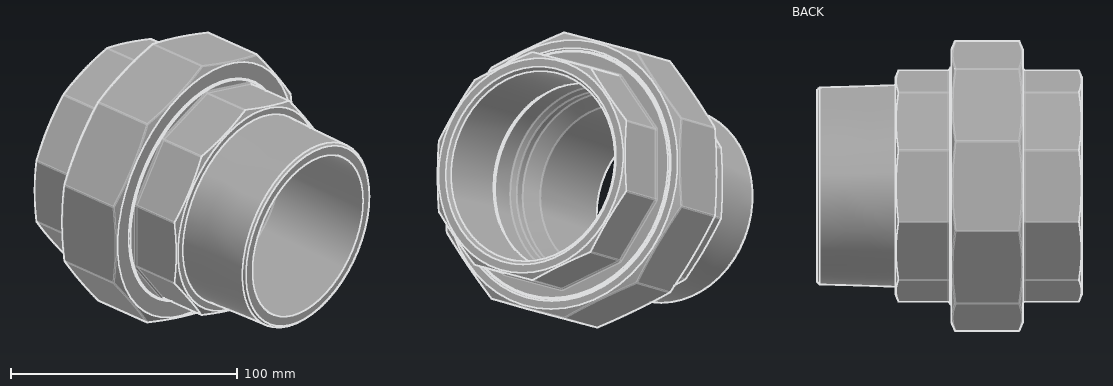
import math

import cadquery as cq


SIDES = 10
FLAT_RATIO = math.cos(math.pi / SIDES)
CORNER_RADIUS = 1.0
CHAMFER_ANGLE = math.radians(23)
CUTTER_MARGIN = 1.3
PLANE_TOLERANCE = 0.01

chamfer_edge_radius = 0.5
nut_corner_diameter = 128.2
nut_flats = nut_corner_diameter * FLAT_RATIO + 2 * CORNER_RADIUS * (1 - FLAT_RATIO)
nut_start = 26.0
nut_end = 57.8
nut_face_diameter = 120.2
nut_mouth_diameter = 113.0
thread_diameter = 111.3
nut_mouth_chamfer = (nut_mouth_diameter - thread_diameter) / 2
neck_diameter = 105.0
lip_start = 51.3

end_flats = 97.4
end_face_diameter = 95.9
foot_fillet = 0.8

thread_face_diameter = 110.1
thread_chamfer = (thread_diameter - thread_face_diameter) / 2
bore_diameter = 85.0
socket_mouth_diameter = 88.5
socket_mouth_chamfer = (socket_mouth_diameter - bore_diameter) / 2
socket_end = 37.2

seal_gap = 3.8
spigot_start = socket_end + seal_gap
neck_end = 58.5
neck_face_diameter = 104.0
neck_chamfer = (neck_diameter - neck_face_diameter) / 2
decagon_end = 82.4
total_length = 117.0
throat_diameter = 76.0
seat_chamfer = 0.5
cone_angle = math.radians(30)
seat_diameter = 88.5
cone_fillet = 1.0
seat_cone_start = 53.8
seat_cone_end = seat_cone_start + (seat_diameter - bore_diameter) / 2 / math.tan(cone_angle)
throat_cone_start = 61.5
throat_cone_end = throat_cone_start + (bore_diameter - throat_diameter) / 2 / math.tan(cone_angle)
pipe_root_diameter = 89.2
pipe_tip_diameter = 87.2
pipe_tip_chamfer = 1.2


def revolved(profile):
    """Solid of revolution about X from (x, radius) points."""
    return cq.Workplane("XY").polyline(profile).close().revolve(360, (0, 0, 0), (1, 0, 0))


def decagon(start, end, flats):
    """Decagonal prism along X with rounded corners."""
    prism = (
        cq.Workplane("YZ", origin=(start, 0, 0))
        .transformed(rotate=(0, 0, 90))
        .polygon(SIDES, flats / FLAT_RATIO)
        .extrude(end - start)
    )
    return prism.edges("|X").fillet(CORNER_RADIUS)


def end_chamfer(face_x, inward, face_diameter, flats):
    """Ring to cut from a decagon so that its end face is a circle; inward is +1 or -1 along X."""
    face_radius = face_diameter / 2
    rim_radius = flats / FLAT_RATIO / 2 + CUTTER_MARGIN
    depth = (rim_radius - face_radius) * math.tan(CHAMFER_ANGLE)
    return revolved([
        (face_x, face_radius),
        (face_x, rim_radius),
        (face_x + inward * depth, rim_radius),
    ])


def at_plane(x):
    """Selector for the edges that lie in the plane at x, normal to the X axis."""
    reach = nut_corner_diameter
    return cq.selectors.BoxSelector(
        (x - PLANE_TOLERANCE, -reach, -reach), (x + PLANE_TOLERANCE, reach, reach), boundingbox=True
    )


def make_nut():
    """Nut with a threaded mouth at the socket side and a retaining lip at the spigot side."""
    body = decagon(nut_start, nut_end, nut_flats)
    body = body.cut(end_chamfer(nut_start, 1, nut_face_diameter, nut_flats))
    body = body.cut(end_chamfer(nut_end, -1, nut_face_diameter, nut_flats))
    body = body.edges("not (|X or %CIRCLE)").fillet(chamfer_edge_radius)
    opening = revolved([
        (nut_start, 0),
        (nut_start, nut_mouth_diameter / 2),
        (nut_start + nut_mouth_chamfer, thread_diameter / 2),
        (lip_start, thread_diameter / 2),
        (lip_start, neck_diameter / 2),
        (nut_end, neck_diameter / 2),
        (nut_end, 0),
    ])
    return body.cut(opening)


def make_socket():
    """Female end: decagon, male thread under the nut and a straight bore."""
    wrench = decagon(0, nut_start, end_flats)
    wrench = wrench.cut(end_chamfer(0, 1, end_face_diameter, end_flats))
    thread = revolved([
        (nut_start, 0),
        (nut_start, thread_face_diameter / 2),
        (nut_start + thread_chamfer, thread_diameter / 2),
        (socket_end, thread_diameter / 2),
        (socket_end, 0),
    ])
    body = wrench.union(thread)
    body = body.edges(at_plane(nut_start)).edges("not %CIRCLE").fillet(foot_fillet)
    bore = revolved([
        (0, 0),
        (0, socket_mouth_diameter / 2),
        (socket_mouth_chamfer, bore_diameter / 2),
        (socket_end, bore_diameter / 2),
        (socket_end, 0),
    ])
    return body.cut(bore)


def make_spigot():
    """Male end: flange and neck held by the nut, decagon, tapered pipe and a bore stepped by two cones."""
    wrench = decagon(neck_end, decagon_end, end_flats)
    wrench = wrench.cut(end_chamfer(decagon_end, -1, end_face_diameter, end_flats))
    neck = revolved([
        (spigot_start, 0),
        (spigot_start, thread_diameter / 2),
        (lip_start, thread_diameter / 2),
        (lip_start, neck_diameter / 2),
        (neck_end - neck_chamfer, neck_diameter / 2),
        (neck_end, neck_face_diameter / 2),
        (neck_end, 0),
    ])
    pipe = revolved([
        (decagon_end, 0),
        (decagon_end, pipe_root_diameter / 2),
        (total_length - pipe_tip_chamfer, pipe_tip_diameter / 2),
        (total_length, pipe_tip_diameter / 2 - pipe_tip_chamfer),
        (total_length, 0),
    ])
    bore = revolved([
        (spigot_start, 0),
        (spigot_start, seat_diameter / 2 + seat_chamfer),
        (spigot_start + seat_chamfer, seat_diameter / 2),
        (seat_cone_start, seat_diameter / 2),
        (seat_cone_end, bore_diameter / 2),
        (throat_cone_start, bore_diameter / 2),
        (throat_cone_end, throat_diameter / 2),
        (total_length, throat_diameter / 2),
        (total_length, 0),
    ])
    body = wrench.union(neck)
    body = body.edges(at_plane(neck_end)).edges("not %CIRCLE").fillet(foot_fillet)
    body = body.union(pipe).cut(bore)
    for cone_rim in (seat_cone_start, seat_cone_end, throat_cone_start, throat_cone_end):
        body = body.edges(at_plane(cone_rim)).fillet(cone_fillet)
    return body


nut = make_nut()
socket = make_socket()
spigot = make_spigot()

result = cq.Compound.makeCompound([nut.val(), socket.val(), spigot.val()])